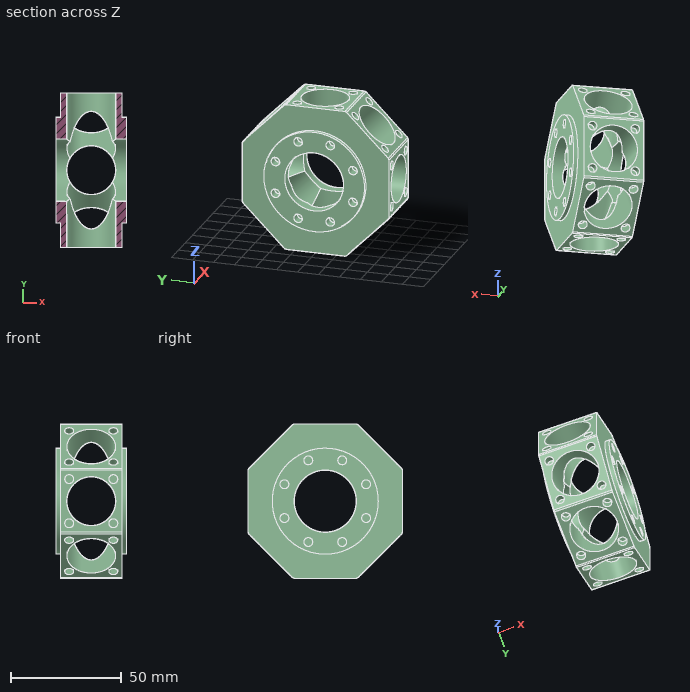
import cadquery as cq
import math

side_count = 8
across_flats = 70.0
body_width = 28.0
flat_length = body_width

flange_diameter = 48.0
flange_height = 2.0
overall_width = body_width + 2 * flange_height

axial_bore_diameter = 28.0
radial_bore_diameter = 22.0

screw_diameter = 4.0
axial_screw_count = side_count
axial_screw_circle_diameter = 40.0
axial_screw_depth = 5.0
radial_screw_spacing = 20.0
radial_screw_depth = 5.0

sector_angle = 360.0 / side_count
across_corners = across_flats / math.cos(math.radians(sector_angle / 2))
full_side_length = across_flats * math.tan(math.radians(sector_angle / 2))
corner_bevel = (full_side_length - flat_length) / 2


def axial_cylinder(diameter, length):
    """Cylinder along X, centred on the origin."""
    return cq.Workplane("YZ").circle(diameter / 2).extrude(length / 2, both=True)


def make_body():
    """Octagonal prism with flats facing Y and Z, bevelled corners and a flange on each end."""
    octagon = (
        cq.Workplane("YZ")
        .polygon(side_count, across_corners)
        .extrude(body_width / 2, both=True)
        .rotate((0, 0, 0), (1, 0, 0), sector_angle / 2)
        .edges("|X")
        .chamfer(corner_bevel)
    )
    return octagon.union(axial_cylinder(flange_diameter, overall_width))


def make_radial_cutter():
    """Bore to the hub centre plus four screw holes, for the flat facing +Z."""
    flat_plane = cq.Workplane("XY").workplane(offset=across_flats / 2)
    bore = flat_plane.circle(radial_bore_diameter / 2).extrude(-across_flats / 2)
    screws = (
        flat_plane.rect(radial_screw_spacing, radial_screw_spacing, forConstruction=True)
        .vertices()
        .circle(screw_diameter / 2)
        .extrude(-radial_screw_depth)
    )
    return bore.union(screws)


def make_axial_screws():
    """Ring of screw holes for the flange facing +X, straddling the Y and Z axes."""
    return (
        cq.Workplane("YZ")
        .workplane(offset=overall_width / 2)
        .polarArray(axial_screw_circle_diameter / 2, sector_angle / 2, 360, axial_screw_count)
        .circle(screw_diameter / 2)
        .extrude(-axial_screw_depth)
    )


hub = make_body().cut(axial_cylinder(axial_bore_diameter, overall_width))

radial_cutter = make_radial_cutter()
for index in range(side_count):
    hub = hub.cut(radial_cutter.rotate((0, 0, 0), (1, 0, 0), index * sector_angle))

axial_screws = make_axial_screws()
hub = hub.cut(axial_screws).cut(axial_screws.mirror("YZ"))

result = hub